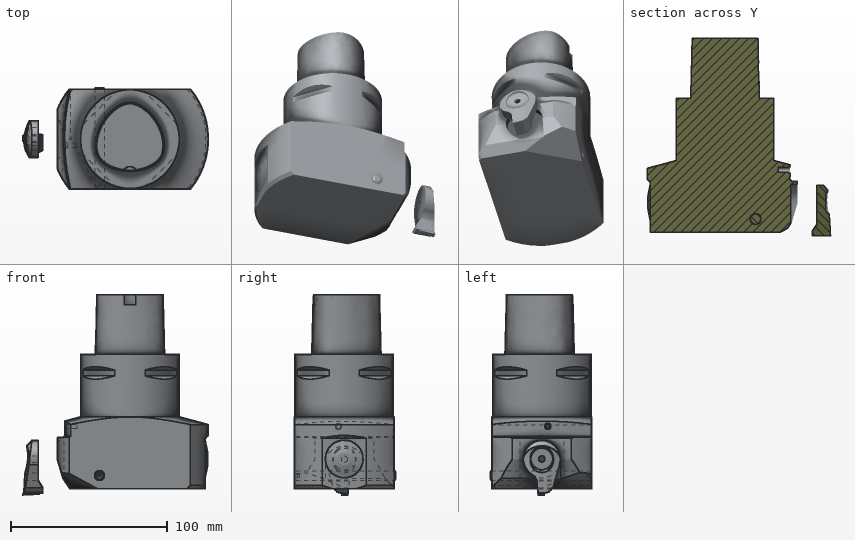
import cadquery as cq
import math


base_radius = 50.0
base_half_width = 31.9
base_cone_angle = 15.0
base_top = 46.0
bottom_bevel_width = 1.5
bottom_bevel_height = 2.3
front_flat = -46.3
back_flat = 48.0
ledge_height = 32.8
ledge_edge_bevel = 0.6
ledge_edge_setback = 0.4
back_bevel_start = 32.1
nose_break_1 = 18.8
nose_break_2 = (-42.8, 6.7)
nose_bottom = -38.1

wall_middle = -41.7
wall_end = -37.9
wall_foot_bevel = 0.9

corner_cut_points = [(-38.0, -31.9, 9.3), (-20.7, -31.9, 0.0), (-42.6, -12.2, 6.3)]

collar_radius = 63.0 / 2
collar_top = 85.8
gripper_plane = 28.0
gripper_z = 74.0
gripper_bottom_height = 3.6
gripper_mouth_height = 8.0

shank_top = 124.0
shank_radius = 22.1
shank_lobe = 1.4
shank_taper = 1 / 40
shank_points = 48
notch_radius = 8.5 / 2
notch_center_y = -21.8
notch_depth = 6.4

outlet_y = -3.8
outlet_z = 40.0
outlet_mouth = 4.0
outlet_bore = 2.8
outlet_mouth_depth = 0.9
outlet_depth = 7.7

head_z = 19.1
seat_diameter = 24.0
seat_floor = -42.2
slot_left = 4.2
slot_right = -seat_diameter / 2
slot_bottom = 5.6

head_radius = 11.8
head_back = -58.5
head_rim = -62.6
bevel_angle = 45.0
rim_tilt = 7.0
foot_back = -55.5
foot_top = 5.2
foot_shoulder = 0.6
blade_bottom = -2.8
blade_right_top = (-11.4, 15.4)
blade_right_shoulder = (-7.2, foot_shoulder)
blade_right_corner = (-4.1, -2.3)
blade_left_bottom = (2.4, blade_bottom)
blade_left_neck = (3.2, 5.4)
neck_bend = (4.6, 7.5)
neck_end = (7.7, 10.1)
tip_front = -68.5
tip_back = -58.0
tip_bottom = -4.0
tip_edge_height = 0.4
tip_slope_length = 1.0
tip_height = 1.9
tip_relief = 0.5
tip_left = 2.2
tip_right = -1.5
dish_floor = -64.5
dish_diameter = 14.0
dish_flare = 0.7
head_bore = 4.0
head_sections = [(32.0, -66.3, 2.4), (16.6, -66.3, 2.4), (9.0, -67.1, 2.7), (-5.1, -67.7, 3.6)]
crest_y = 1.5
head_section_half_width = 12.4

dial_diameter = 24.0
dial_flat_diameter = 8.5
dial_height = 1.7

screw_x = -19.5
screw_z = 8.5
screw_diameter = 6.3
screw_rim = 0.4
screw_out = 1.0
screw_point_diameter = 4.1
cup_diameter = 4.7
cup_bore = 1.5
cup_depth = 1.9
cup_bore_depth = 3.2

margin = 6.4


def base_block():
    """Turned block with a bevelled bottom edge and a conical roof, cut flat on both sides."""
    roof_drop = (base_radius - collar_radius) * math.tan(math.radians(base_cone_angle))
    profile = [
        (0, 0),
        (base_radius - bottom_bevel_width, 0),
        (base_radius, bottom_bevel_height),
        (base_radius, base_top - roof_drop),
        (collar_radius, base_top),
        (0, base_top),
    ]
    block = cq.Workplane("XZ").polyline(profile).close().revolve(360, (0, 0), (0, 1))
    sides = cq.Workplane("XY").box(
        4 * base_radius, 2 * base_half_width, base_top, centered=(True, True, False)
    )
    return block.intersect(sides)


def front_and_back_limits():
    """Side outline of the block: sloped nose in front, set-back flat behind."""
    back_flare = base_radius - back_flat + margin
    outline = [
        (nose_bottom, 0),
        nose_break_2,
        (front_flat, nose_break_1),
        (front_flat, ledge_height - ledge_edge_bevel),
        (front_flat + ledge_edge_setback, ledge_height),
        (-base_radius - margin, ledge_height),
        (-base_radius - margin, base_top),
        (back_flat + back_flare, base_top),
        (back_flat + back_flare, back_bevel_start + back_flare),
        (back_flat, back_bevel_start),
        (back_flat, 0),
    ]
    return cq.Workplane("XZ").polyline(outline).close().extrude(base_radius, both=True)


def wall_outline(offset, bottom):
    """Closed outline in front of the bowed wall, with the wall moved forward by the offset."""
    y_end = base_half_width
    far = -base_radius - margin
    return (
        cq.Workplane("XY", origin=(0, 0, bottom))
        .moveTo(far, -y_end)
        .lineTo(wall_end - offset, -y_end)
        .threePointArc((wall_middle - offset, 0), (wall_end - offset, y_end))
        .lineTo(far, y_end)
        .close()
    )


def wall_space():
    """Space in front of the bowed wall, tapering in to leave a bevel at the wall's foot."""
    bevel_top = ledge_height + wall_foot_bevel
    upper = wall_outline(0, bevel_top).extrude(base_top)
    foot_wires = [
        wall_outline(wall_foot_bevel, ledge_height).wires().val(),
        wall_outline(0, bevel_top).wires().val(),
    ]
    return upper.union(cq.Workplane(obj=cq.Solid.makeLoft(foot_wires, True)))


def corner_cut():
    """Everything below the slanted plane under the front corner."""
    a, b, c = [cq.Vector(*p) for p in corner_cut_points]
    normal = (b - a).cross(c - a)
    if normal.z > 0:
        normal = normal * -1
    plane = cq.Plane(origin=a.toTuple(), xDir=(b - a).toTuple(), normal=normal.toTuple())
    return cq.Workplane(plane).rect(4 * base_radius, 4 * base_radius).extrude(base_radius)


def gripper_groove(angle):
    """Flat-bottomed groove across the collar with flared flanks."""
    half_bottom = gripper_bottom_height / 2
    half_mouth = gripper_mouth_height / 2
    profile = [
        (gripper_plane, gripper_z - half_bottom),
        (collar_radius, gripper_z - half_mouth),
        (collar_radius, gripper_z + half_mouth),
        (gripper_plane, gripper_z + half_bottom),
    ]
    groove = cq.Workplane("XZ").polyline(profile).close().extrude(collar_radius, both=True)
    return groove.rotate((0, 0, 0), (0, 0, 1), angle)


def polygon_wire(z):
    """Three-lobed outline of constant width, one lobe pointing to +Y."""
    mean = shank_radius - shank_taper * (z - collar_top)
    points = []
    for i in range(shank_points):
        t = 2 * math.pi * i / shank_points
        lobe_phase = 3 * (t - math.pi / 2)
        reach = mean + shank_lobe * math.cos(lobe_phase)
        slope = -3 * shank_lobe * math.sin(lobe_phase)
        points.append(cq.Vector(
            reach * math.cos(t) - slope * math.sin(t),
            reach * math.sin(t) + slope * math.cos(t),
            z,
        ))
    return cq.Wire.assembleEdges([cq.Edge.makeSpline(points, periodic=True)])


def shank():
    taper = cq.Solid.makeLoft([polygon_wire(collar_top), polygon_wire(shank_top)], True)
    notch = (
        cq.Workplane("XY", origin=(0, notch_center_y, shank_top - notch_depth))
        .circle(notch_radius)
        .extrude(notch_depth + margin)
    )
    return cq.Workplane(obj=taper).cut(notch)


def coolant_outlet():
    profile = [
        (wall_middle - margin, 0),
        (wall_middle - margin, outlet_mouth / 2),
        (wall_middle + outlet_mouth_depth, outlet_mouth / 2),
        (wall_middle + outlet_mouth_depth, outlet_bore / 2),
        (wall_middle + outlet_depth, outlet_bore / 2),
        (wall_middle + outlet_depth, 0),
    ]
    outlet = cq.Workplane("XY").polyline(profile).close().revolve(360, (0, 0), (1, 0))
    return outlet.translate((0, outlet_y, outlet_z))


def head_seat():
    """Round seat for the head with a slot below it for the head's foot."""
    depth = seat_floor - front_flat + margin
    start = cq.Workplane("YZ", origin=(front_flat - margin, 0, 0))
    round_seat = start.center(0, head_z).circle(seat_diameter / 2).extrude(depth)
    slot = (
        start.moveTo(slot_right, slot_bottom)
        .lineTo(slot_left, slot_bottom)
        .lineTo(slot_left, head_z)
        .lineTo(slot_right, head_z)
        .close()
        .extrude(depth)
    )
    return round_seat.union(slot)


def make_screw():
    """Locking screw across the housing, cupped at -Y, with a tapered point standing out at +Y."""
    start = -base_half_width
    rim = base_half_width + screw_rim
    end = base_half_width + screw_out
    profile = [
        (0, start + cup_bore_depth),
        (cup_bore / 2, start + cup_bore_depth),
        (cup_bore / 2, start + cup_depth),
        (cup_diameter / 2, start),
        (screw_diameter / 2, start),
        (screw_diameter / 2, rim),
        (screw_point_diameter / 2, end),
        (0, end),
    ]
    screw = cq.Workplane("XY").polyline(profile).close().revolve(360, (0, 0), (0, 1))
    return screw.translate((screw_x, 0, screw_z))


def screw_hole():
    return (
        cq.Workplane("XZ", origin=(screw_x, 0, screw_z))
        .circle(screw_diameter / 2)
        .extrude(base_radius, both=True)
    )


def make_housing():
    body = base_block().intersect(front_and_back_limits())
    body = body.cut(wall_space()).cut(corner_cut()).cut(head_seat()).cut(coolant_outlet())
    collar = cq.Workplane("XY", origin=(0, 0, base_top)).circle(collar_radius)
    body = body.union(collar.extrude(collar_top - base_top))
    for angle in (45, 135, 225, 315):
        body = body.cut(gripper_groove(angle))
    return body.union(shank()).cut(screw_hole())


def head_outline():
    """Round head with a narrowing blade below it, as seen along X."""
    length = foot_back - tip_front + margin
    start = cq.Workplane("YZ", origin=(tip_front - margin, 0, 0))
    round_head = start.center(0, head_z).circle(head_radius).extrude(length)
    blade = (
        start.moveTo(*blade_right_top)
        .lineTo(*blade_right_shoulder)
        .lineTo(*blade_right_corner)
        .lineTo(tip_right, blade_bottom)
        .lineTo(*blade_left_bottom)
        .lineTo(*blade_left_neck)
        .threePointArc(neck_bend, neck_end)
        .lineTo(0, head_z)
        .close()
        .extrude(length)
    )
    return round_head.union(blade)


def head_side_profile():
    """Flat back of the head with a foot stepping back at the bottom."""
    far = tip_front - margin
    top = head_z + head_radius
    outline = [
        (far, blade_bottom),
        (foot_back, blade_bottom),
        (foot_back, foot_shoulder),
        (head_back, foot_top),
        (head_back, top),
        (far, top),
    ]
    return cq.Workplane("XZ").polyline(outline).close().extrude(seat_diameter, both=True)


def head_front_volume():
    """Material behind the bowed front surface, which leans forward towards the tip."""
    side = head_section_half_width
    wires = []
    for z, crest, fall in head_sections:
        section = (
            cq.Workplane("XY", origin=(0, 0, z))
            .moveTo(foot_back + margin, -side)
            .lineTo(crest + fall, -side)
            .threePointArc((crest, crest_y), (crest + fall, side))
            .lineTo(foot_back + margin, side)
            .close()
        )
        wires.append(section.wires().val())
    return cq.Workplane(obj=cq.Solid.makeLoft(wires))


def rim_bevel():
    """Bevel around the upper half of the rim, tilted forward away from the top."""
    top = head_z + head_radius
    size = head_radius
    reach = size * math.tan(math.radians(bevel_angle - rim_tilt))
    overshoot = margin * reach / size
    ring = (
        cq.Workplane("XZ")
        .polyline([
            (head_rim + overshoot, top + margin),
            (head_rim - reach, top + margin),
            (head_rim - reach, top - size),
        ])
        .close()
        .revolve(360, (0, head_z), (1, head_z))
    )
    ring = ring.rotate((head_rim, 0, top), (head_rim, 1, top), rim_tilt)
    upper = cq.Workplane("XY", origin=(head_rim, 0, head_z)).box(
        4 * size, 4 * size, 4 * size, centered=(True, True, False)
    )
    return ring.intersect(upper)


def dish():
    """Flared dish in the front of the head and the bore through its floor."""
    floor_radius = dish_diameter / 2
    profile = [
        (dish_floor, 0),
        (dish_floor, floor_radius),
        (dish_floor - margin, floor_radius + dish_flare * margin),
        (dish_floor - margin, 0),
    ]
    flare = cq.Workplane("XY").polyline(profile).close().revolve(360, (0, 0), (1, 0))
    bore = cq.Workplane("YZ", origin=(dish_floor, 0, 0)).circle(head_bore / 2)
    return flare.union(bore.extrude(foot_back - dish_floor)).translate((0, 0, head_z))


def cutting_tip():
    outline = [
        (tip_front, tip_bottom),
        (tip_front, tip_bottom + tip_edge_height),
        (tip_front + tip_slope_length, tip_bottom + tip_height),
        (tip_back, tip_bottom + tip_height),
        (tip_back, tip_bottom + tip_relief),
    ]
    start = cq.Workplane("XZ", origin=(0, tip_left, 0))
    return start.polyline(outline).close().extrude(tip_left - tip_right)


def make_head():
    head = head_outline().intersect(head_side_profile()).intersect(head_front_volume())
    return head.cut(rim_bevel()).cut(dish()).union(cutting_tip())


def make_dial():
    profile = [
        (back_flat, 0),
        (back_flat, dial_diameter / 2),
        (back_flat + dial_height, dial_flat_diameter / 2),
        (back_flat + dial_height, 0),
    ]
    dial = cq.Workplane("XY").polyline(profile).close().revolve(360, (0, 0), (1, 0))
    return dial.translate((0, 0, head_z))


housing = make_housing()
head = make_head()
dial = make_dial()
screw = make_screw()

result = cq.Compound.makeCompound([housing.val(), head.val(), dial.val(), screw.val()])